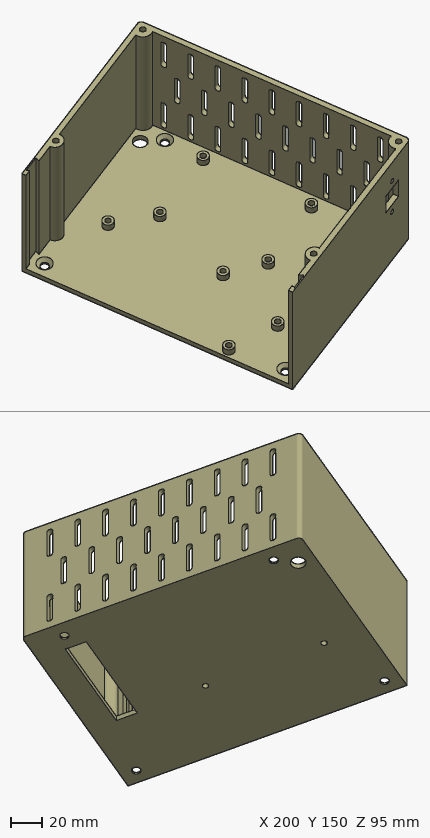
import cadquery as cq

LENGTH = 200.0
DEPTH = 150.0
HEIGHT = 95.0
SIDE_WALL = 4.0
BACK_WALL = 4.0
FLOOR = 4.0
BACK_CORNER_RADIUS = 3.0

GROOVE_START = 4.0
GROOVE_END = 16.0
GROOVE_TAPER = 0.4
GROOVE_WEB = 1.0
LIP_WALL = 3.0

CORNER_POST_INSET = 5.5
CORNER_POST_RADIUS = 6.5
SIDE_POST_INSET = 4.0
SIDE_HOLE_INSET = 4.75
SIDE_POST_Y = 35.0
SIDE_POST_RADIUS = 6.0
POST_HOLE_DIAMETER = 4.2

STANDOFF_DIAMETER = 8.0
STANDOFF_HEIGHT = 5.0
BLIND_HOLE_DIAMETER = 4.2
THROUGH_HOLE_DIAMETER = 4.0
BOARD_LEFT = 55.0
BOARD_FRONT = 81.0
BOARD_SIZE_X = 80.0
BOARD_SIZE_Y = 55.0
BOARD_STANDOFFS = [
    (BOARD_LEFT + i * BOARD_SIZE_X, BOARD_FRONT + j * BOARD_SIZE_Y) for i in (0, 1) for j in (0, 1)
]
MODULE_STANDOFFS = [(166.7, 38.5), (149.8, 5.5)]
THROUGH_STANDOFFS = [(30.0, 58.0), (115.0, 58.0)]

MOUNT_HOLE_DIAMETER = 6.0
MOUNT_SINK_DIAMETER = 11.0
BACK_MOUNT_INSET = 25.0
BACK_MOUNT_Y = 139.0
FRONT_MOUNT_INSET = 11.0
FRONT_MOUNT_Y = 10.0

CABLE_HOLE_DIAMETER = 10.0
CABLE_HOLE_CENTER = (12.0, 130.0)
FLOOR_WINDOW_SIZE = (15.0, 72.0)
FLOOR_WINDOW_CENTER = (172.5, 92.0)

SLOT_WIDTH = 4.0
SLOT_LENGTH = 24.0
SLOT_PITCH = 20.0
SLOT_ROW_PITCH = 29.5
SLOT_MIDDLE_ROW_Z = HEIGHT / 2
SLOT_ROWS = [
    (9, SLOT_MIDDLE_ROW_Z - SLOT_ROW_PITCH),
    (8, SLOT_MIDDLE_ROW_Z),
    (9, SLOT_MIDDLE_ROW_Z + SLOT_ROW_PITCH),
]

SOCKET_Y = 127.0
SOCKET_Z = 62.0
SOCKET_SIZE = 16.0
SOCKET_SCREW_OFFSET = 15.0
SOCKET_SCREW_DIAMETER = 3.5


def mirrored(inset, y):
    """Two points at the same inset from the left and right sides."""
    return [(inset, y), (LENGTH - inset, y)]


CORNER_POSTS = mirrored(CORNER_POST_INSET, DEPTH - CORNER_POST_INSET)
SIDE_POSTS = mirrored(SIDE_POST_INSET, SIDE_POST_Y)
POST_HOLES = CORNER_POSTS + mirrored(SIDE_HOLE_INSET, SIDE_POST_Y)


def block(x0, x1, y0, y1, z0, z1):
    return cq.Workplane("XY").box(x1 - x0, y1 - y0, z1 - z0, centered=False).translate((x0, y0, z0))


def cylinders(points, diameter, z0, z1):
    return cq.Workplane("XY").workplane(offset=z0).pushPoints(points).circle(diameter / 2).extrude(z1 - z0)


def outer_block():
    return block(0, LENGTH, 0, DEPTH, 0, HEIGHT).edges("|Z and >Y").fillet(BACK_CORNER_RADIUS)


def panel_groove():
    """Dovetail grooves of both side walls and the space between them, cut as one prism."""
    left_profile = [
        (LIP_WALL, GROOVE_START + GROOVE_TAPER * (LIP_WALL - GROOVE_WEB)),
        (GROOVE_WEB, GROOVE_START),
        (GROOVE_WEB, GROOVE_END),
        (SIDE_WALL, GROOVE_END - GROOVE_TAPER * (SIDE_WALL - GROOVE_WEB)),
    ]
    right_profile = [(LENGTH - x, y) for x, y in reversed(left_profile)]
    outline = cq.Workplane("XY").workplane(offset=FLOOR).polyline(left_profile + right_profile).close()
    return outline.extrude(HEIGHT - FLOOR)


def shell():
    """Floor, back wall and side walls, with a thinner lip and a panel groove at the front."""
    groove_middle = (GROOVE_START + GROOVE_END) / 2
    lip_gap = block(LIP_WALL, LENGTH - LIP_WALL, 0, groove_middle, FLOOR, HEIGHT)
    cavity = block(SIDE_WALL, LENGTH - SIDE_WALL, groove_middle, DEPTH - BACK_WALL, FLOOR, HEIGHT)
    return outer_block().cut(lip_gap).cut(panel_groove()).cut(cavity)


def posts():
    """Full height posts, trimmed to the outside of the box."""
    corner = cylinders(CORNER_POSTS, 2 * CORNER_POST_RADIUS, 0, HEIGHT)
    side = cylinders(SIDE_POSTS, 2 * SIDE_POST_RADIUS, 0, HEIGHT)
    return corner.union(side).intersect(outer_block())


def standoffs():
    return cylinders(
        BOARD_STANDOFFS + MODULE_STANDOFFS + THROUGH_STANDOFFS, STANDOFF_DIAMETER, 0, FLOOR + STANDOFF_HEIGHT
    )


def screw_holes():
    """Holes in the posts and standoffs; blind ones stop at the floor."""
    standoff_top = FLOOR + STANDOFF_HEIGHT
    post_holes = cylinders(POST_HOLES, POST_HOLE_DIAMETER, FLOOR, HEIGHT)
    blind = cylinders(BOARD_STANDOFFS + MODULE_STANDOFFS, BLIND_HOLE_DIAMETER, FLOOR, standoff_top)
    through = cylinders(THROUGH_STANDOFFS, THROUGH_HOLE_DIAMETER, 0, standoff_top)
    return post_holes.union(blind).union(through)


def mount_holes():
    """Through holes with a 45 degree countersink opening at the floor's top face."""
    points = mirrored(BACK_MOUNT_INSET, BACK_MOUNT_Y) + mirrored(FRONT_MOUNT_INSET, FRONT_MOUNT_Y)
    hole_radius = MOUNT_HOLE_DIAMETER / 2
    sink_radius = MOUNT_SINK_DIAMETER / 2
    down = cq.Vector(0, 0, -1)
    sink = cq.Solid.makeCone(sink_radius, hole_radius, sink_radius - hole_radius, dir=down)
    places = cq.Workplane("XY").workplane(offset=FLOOR).pushPoints(points)
    sinks = places.eachpoint(lambda place: sink.moved(place))
    return cylinders(points, MOUNT_HOLE_DIAMETER, 0, FLOOR).union(sinks)


def floor_openings():
    window = cq.Workplane("XY").center(*FLOOR_WINDOW_CENTER).rect(*FLOOR_WINDOW_SIZE).extrude(FLOOR)
    return window.union(cylinders([CABLE_HOLE_CENTER], CABLE_HOLE_DIAMETER, 0, FLOOR))


def vent_slots():
    """Staggered rows of upright slots, each row centred along the length."""
    centers = [
        (LENGTH / 2 + (i - (count - 1) / 2) * SLOT_PITCH, z) for count, z in SLOT_ROWS for i in range(count)
    ]
    back_face = cq.Workplane("XZ", origin=(0, DEPTH, 0))
    return back_face.pushPoints(centers).slot2D(SLOT_LENGTH, SLOT_WIDTH, 90).extrude(BACK_WALL)


def socket_opening():
    wall = cq.Workplane("YZ", origin=(LENGTH - SIDE_WALL, SOCKET_Y, SOCKET_Z))
    opening = wall.rect(SOCKET_SIZE, SOCKET_SIZE).extrude(SIDE_WALL)
    screw_points = [(0, -SOCKET_SCREW_OFFSET), (0, SOCKET_SCREW_OFFSET)]
    return opening.union(wall.pushPoints(screw_points).circle(SOCKET_SCREW_DIAMETER / 2).extrude(SIDE_WALL))


body = shell().union(posts()).union(standoffs())
body = body.cut(screw_holes()).cut(mount_holes())
result = body.cut(floor_openings()).cut(vent_slots()).cut(socket_opening())